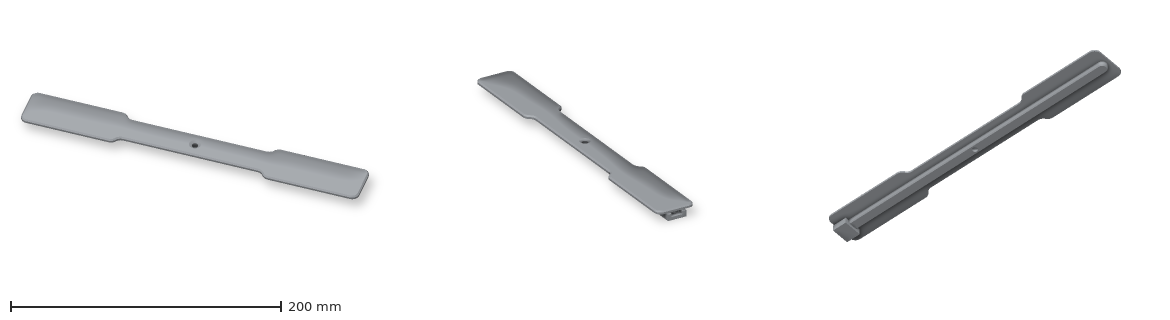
import cadquery as cq
import math

plate_length = 264.0
paddle_width = 32.2
neck_width = 21.6
plate_thickness = 2.6
corner_radius = 5.3
neck_start = 52.5
shoulder_radius = 5.8
plate_bevel = 1.0

rail_length = 258.2
rail_width = 8.7
rail_height = 4.0
rail_bevel = 0.8

screw_hole_diameter = 4.8
countersink_diameter = 9.0
countersink_angle = 120.0

clip_length = 12.5
clip_width = 15.8
clip_height = 5.3
channel_width = 9.5

total_height = 9.2

clip_offset = (channel_width - rail_width) / 2

plate_bottom = total_height - plate_thickness
rail_bottom = plate_bottom - rail_height


def make_plate_outline():
    """Plate outline with rounded corners and two tangent arcs at each shoulder."""
    half_length = plate_length / 2
    half_paddle = paddle_width / 2
    half_neck = neck_width / 2
    half_step = (half_paddle - half_neck) / 2
    turn = math.acos(1 - half_step / shoulder_radius)
    arc_run = shoulder_radius * math.sin(turn)
    shoulder_mid = neck_start + arc_run
    paddle_start = neck_start + 2 * arc_run

    def shoulder_points(side):
        """Points of the shoulder arcs on the +X (1) or -X (-1) side."""
        return (
            (side * neck_start, half_neck),
            (side * shoulder_mid, half_neck + half_step),
            (side * paddle_start, half_paddle),
        )

    neck_right, mid_right, paddle_right = shoulder_points(1)
    neck_left, mid_left, paddle_left = shoulder_points(-1)
    upper_half = (
        cq.Workplane("XY", origin=(0, 0, plate_bottom))
        .moveTo(-half_length, 0)
        .lineTo(-half_length, half_paddle)
        .lineTo(*paddle_left)
        .tangentArcPoint(mid_left, relative=False)
        .tangentArcPoint(neck_left, relative=False)
        .lineTo(*neck_right)
        .tangentArcPoint(mid_right, relative=False)
        .tangentArcPoint(paddle_right, relative=False)
        .lineTo(half_length, half_paddle)
        .lineTo(half_length, 0)
    )
    return upper_half.mirrorX()


def make_plate():
    """Plate with rounded corners and its whole upper rim bevelled."""
    blank = make_plate_outline().extrude(plate_thickness)
    rounded = blank.edges("|Z and (<X or >X)").fillet(corner_radius)
    return rounded.faces(">Z").edges().chamfer(plate_bevel)


def make_rail():
    """Round-ended rail with a bevelled lower rim."""
    return (
        cq.Workplane("XY", origin=(0, 0, rail_bottom))
        .slot2D(rail_length, rail_width)
        .extrude(rail_height)
        .faces("<Z")
        .edges()
        .chamfer(rail_bevel)
    )


def make_bar():
    """Plate and rail in one piece, with the countersunk hole at the centre."""
    return (
        make_plate()
        .union(make_rail())
        .faces(">Z")
        .workplane(origin=(0, 0, total_height))
        .cskHole(screw_hole_diameter, countersink_diameter, countersink_angle)
    )


def make_clip():
    """Channel block flush with the -X end of the plate."""
    clip_centre = (clip_length - plate_length) / 2
    block = (
        cq.Workplane("XY", origin=(clip_centre, -clip_offset, 0))
        .rect(clip_length, clip_width)
        .extrude(clip_height)
    )
    channel = (
        cq.Workplane("XY", origin=(clip_centre, -clip_offset, rail_bottom))
        .rect(clip_length, channel_width)
        .extrude(clip_height - rail_bottom)
    )
    return block.cut(channel)


bar = make_bar()
clip = make_clip()
result = cq.Compound.makeCompound([bar.val(), clip.val()])